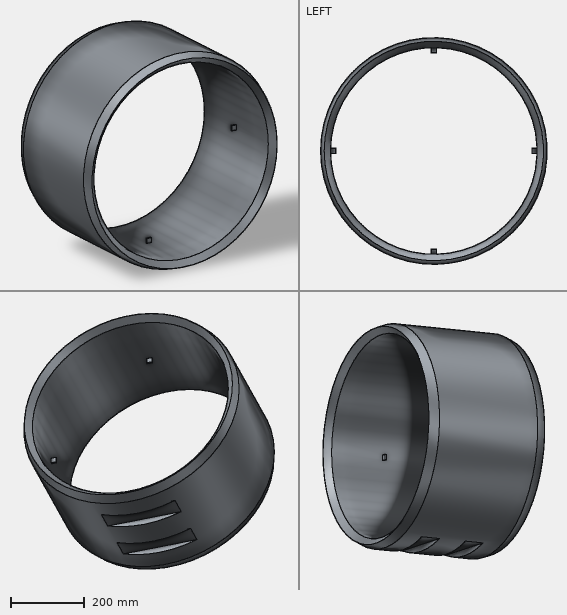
import cadquery as cq

outer_diameter = 615.0
bore_diameter = 560.0
sleeve_length = 359.07

outer_radius = outer_diameter / 2
bore_radius = bore_diameter / 2
wall = outer_radius - bore_radius
half_length = sleeve_length / 2

outer_bevel_length = wall
outer_bevel_depth = 10.0
rim_radius = outer_radius - outer_bevel_depth
inner_bevel_length = rim_radius - bore_radius

block_count = 4
block_width = 15.0
block_length = 5.0
block_height = 14.0
block_embed = 5.0

slot_width = 54.0
slot_spacing = 135.0
slot_depth = 18.5


def sleeve():
    """Ring section revolved about the X axis."""
    section = [
        (-half_length, rim_radius),
        (-half_length + outer_bevel_length, outer_radius),
        (half_length - outer_bevel_length, outer_radius),
        (half_length, rim_radius),
        (half_length - inner_bevel_length, bore_radius),
        (-half_length + inner_bevel_length, bore_radius),
    ]
    return cq.Workplane("XY").polyline(section).close().revolve(360, (0, 0, 0), (1, 0, 0))


def inner_block(angle):
    """One block on the bore, turned about the X axis."""
    block_size = block_height + block_embed
    block = cq.Workplane("XY").box(block_length, block_width, block_size)
    block = block.translate((-block_length / 2, 0, bore_radius + block_embed - block_size / 2))
    return block.rotate((0, 0, 0), (1, 0, 0), angle)


def underside_slot(centre_x):
    """Straight slot running across the bottom of the sleeve along Y."""
    slot = cq.Workplane("XY").box(slot_width, outer_diameter, slot_depth)
    return slot.translate((centre_x, 0, -outer_radius + slot_depth / 2))


result = sleeve()
for index in range(block_count):
    result = result.union(inner_block(index * 360 / block_count))
for side in (-1, 1):
    result = result.cut(underside_slot(side * slot_spacing / 2))